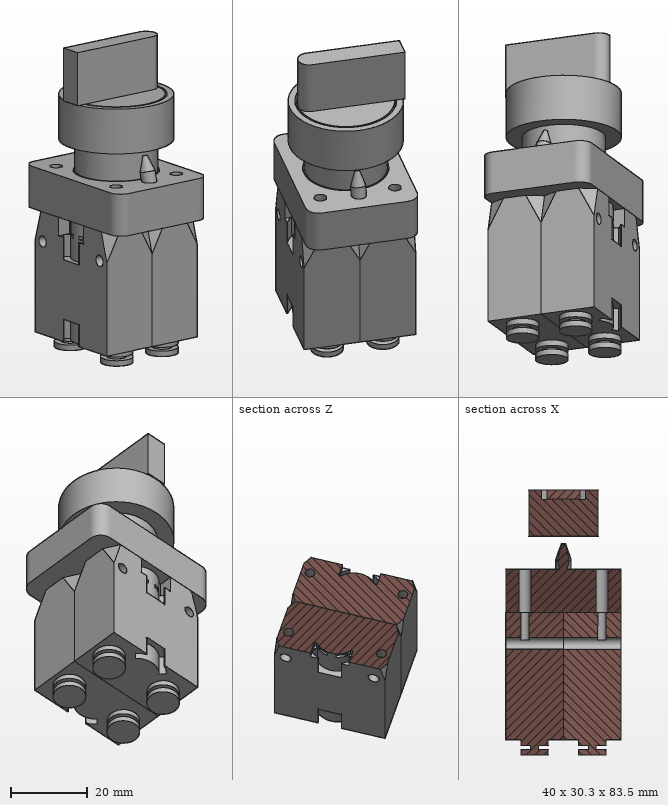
import cadquery as cq
import math

OVERALL_HEIGHT = 83.5
FITTING_HEIGHT = 4.0
PLATE_BOTTOM = 37.15
PLATE_TOP = 48.5
BEZEL_BOTTOM = 57.0
BEZEL_TOP = 69.1

HANDLE_WIDTH = 5.9
HANDLE_FRONT_Y = -15.2
HANDLE_BACK_Y = 12.9
DISC_DIAMETER = 25.5
RECESS_DIAMETER = 26.5
RECESS_DEPTH = 2.5
BEZEL_DIAMETER = 30.1
NECK_DIAMETER = 21.7
STEM_DIAMETER = 20.0

PLATE_LENGTH = 40.0
PLATE_WIDTH = 30.1
PLATE_CORNER_RADIUS = 3.5
NECK_HOLE_DIAMETER = 22.5
SCREW_HOLE_DIAMETER = 3.25
SCREW_X = 12.6
SCREW_Y = 10.0

PEG_DIAMETER = 4.0
PEG_TIP_DIAMETER = 1.2
PEG_BASE_X = 13.8
PEG_SHANK_LENGTH = 2.6
PEG_CONE_LENGTH = 4.2
PEG_ROOT_LENGTH = 3.3
PEG_LEAN = 15.0

BLOCK_WIDTH = 30.1
BLOCK_DEPTH = PLATE_WIDTH / 2
BLOCK_BOTTOM = FITTING_HEIGHT
FACE_Y = -BLOCK_DEPTH
AXIS_Y = FACE_Y / 2

CORNER_CUT_X = 2.3
CORNER_CUT_Y = 4.35
CORNER_CUT_HEIGHT = 8.0

CROSS_HOLE_DIAMETER = 3.0
CROSS_HOLE_X = 11.9
CROSS_HOLE_Z = 29.1
PILOT_HOLE_DIAMETER = 2.4
PILOT_HOLE_DEPTH = 7.2
PILOT_FLOOR = PLATE_BOTTOM - PILOT_HOLE_DEPTH

POST_RADIUS = 6.0
SLOT_RADIUS = 7.9
SLOT_MOUTH_WIDTH = 6.35
SLOT_SECTOR = 90.0
SLOT_FLOOR = 26.1
NOTCH_TOP = 10.0

WINDOW_WIDTH = 10.35
WINDOW_DEPTH = 3.7
WINDOW_FLOOR = 32.15
FLAT_DEPTH = 3.0
FLAT_HEIGHT = 0.9
FLAT_GAP = 2.4

FITTING_X = 9.7
FITTING_DIAMETER = 8.5
FITTING_GROOVE_DIAMETER = 5.0
FITTING_GROOVE_BOTTOM = 1.5
FITTING_GROOVE_TOP = 2.5


def cylinder(diameter, bottom, top, x=0.0, y=0.0):
    """Upright cylinder between two heights."""
    return cq.Workplane("XY", origin=(x, y, bottom)).circle(diameter / 2).extrude(top - bottom)


def box_between(low, high):
    """Box given by two opposite corners."""
    sizes = [b - a for a, b in zip(low, high)]
    return cq.Workplane("XY", origin=low).box(*sizes, centered=False)


def make_knob():
    disc = cylinder(DISC_DIAMETER, BEZEL_TOP - RECESS_DEPTH, BEZEL_TOP)
    half = HANDLE_WIDTH / 2
    handle = (
        cq.Workplane("XY", origin=(0, 0, BEZEL_TOP))
        .moveTo(-half, HANDLE_FRONT_Y)
        .lineTo(half, HANDLE_FRONT_Y)
        .lineTo(half, HANDLE_BACK_Y - half)
        .threePointArc((0, HANDLE_BACK_Y), (-half, HANDLE_BACK_Y - half))
        .close()
        .extrude(OVERALL_HEIGHT - BEZEL_TOP)
    )
    return disc.union(handle)


def make_bezel():
    rim = cylinder(BEZEL_DIAMETER, BEZEL_BOTTOM, BEZEL_TOP)
    neck = cylinder(NECK_DIAMETER, PLATE_TOP, BEZEL_BOTTOM)
    stem = cylinder(STEM_DIAMETER, PLATE_BOTTOM, PLATE_TOP)
    recess = cylinder(RECESS_DIAMETER, BEZEL_TOP - RECESS_DEPTH, BEZEL_TOP)
    return rim.union(neck).union(stem).cut(recess)


def make_peg(side):
    """Pointed peg at +X (side = 1) or -X (side = -1), leaning towards the neck."""
    shank_radius = PEG_DIAMETER / 2
    profile = [
        (0, -PEG_ROOT_LENGTH),
        (shank_radius, -PEG_ROOT_LENGTH),
        (shank_radius, PEG_SHANK_LENGTH),
        (PEG_TIP_DIAMETER / 2, PEG_SHANK_LENGTH + PEG_CONE_LENGTH),
        (0, PEG_SHANK_LENGTH + PEG_CONE_LENGTH),
    ]
    peg = cq.Workplane("XZ").polyline(profile).close().revolve(360, (0, 0), (0, 1))
    leaning = peg.rotate((0, 0, 0), (0, 1, 0), -side * PEG_LEAN)
    return leaning.translate((side * PEG_BASE_X, 0, PLATE_TOP))


def make_plate():
    plate = (
        cq.Workplane("XY", origin=(0, 0, PLATE_BOTTOM))
        .rect(PLATE_LENGTH, PLATE_WIDTH)
        .extrude(PLATE_TOP - PLATE_BOTTOM)
        .edges("|Z")
        .fillet(PLATE_CORNER_RADIUS)
    )
    for side in (-1, 1):
        plate = plate.union(make_peg(side))
        for y in (-SCREW_Y, SCREW_Y):
            plate = plate.cut(cylinder(SCREW_HOLE_DIAMETER, PLATE_BOTTOM, PLATE_TOP, side * SCREW_X, y))
    return plate.cut(cylinder(NECK_HOLE_DIAMETER, PLATE_BOTTOM, BEZEL_BOTTOM))


def corner_cut(x_side, y_side):
    """Sloping cutter that takes a triangular facet off one upper corner of the front block."""
    corner_x = x_side * BLOCK_WIDTH / 2
    corner_y = AXIS_Y + y_side * BLOCK_DEPTH / 2
    corner = cq.Vector(corner_x, corner_y, PLATE_BOTTOM)
    along_x = cq.Vector(corner_x - x_side * CORNER_CUT_X, corner_y, PLATE_BOTTOM)
    along_y = cq.Vector(corner_x, corner_y - y_side * CORNER_CUT_Y, PLATE_BOTTOM)
    below = cq.Vector(corner_x, corner_y, PLATE_BOTTOM - CORNER_CUT_HEIGHT)
    triangles = [
        (corner, along_x, along_y),
        (corner, along_x, below),
        (corner, along_y, below),
        (along_x, along_y, below),
    ]
    faces = [cq.Face.makeFromWires(cq.Wire.makePolygon(points, close=True)) for points in triangles]
    return cq.Workplane(cq.Solid.makeSolid(cq.Shell.makeShell(faces)))


def post(bottom, top):
    """Stretch of the round core on the block axis."""
    return cylinder(2 * POST_RADIUS, bottom, top, 0, AXIS_Y)


def sector_triangle():
    """Triangle that opens from the block axis towards the outer face and spans the slot sector."""
    reach = 2 * SLOT_RADIUS
    half_width = reach * math.tan(math.radians(SLOT_SECTOR / 2))
    return [(0, 0), (-half_width, -reach), (half_width, -reach)]


def ring_slot(bottom, top):
    """Ring-sector slot around the post, with a straight mouth in the outer face."""
    sector = (
        cq.Workplane("XY", origin=(0, AXIS_Y, bottom))
        .polyline(sector_triangle())
        .close()
        .extrude(top - bottom)
    )
    ring = cylinder(2 * SLOT_RADIUS, bottom, top, 0, AXIS_Y).intersect(sector)
    mouth = box_between((-SLOT_MOUTH_WIDTH / 2, FACE_Y, bottom), (SLOT_MOUTH_WIDTH / 2, AXIS_Y, top))
    return ring.union(mouth).cut(post(bottom, top))


def window():
    """Rectangular window in the outer face, with the round post standing in it."""
    opening = box_between(
        (-WINDOW_WIDTH / 2, FACE_Y, WINDOW_FLOOR),
        (WINDOW_WIDTH / 2, FACE_Y + WINDOW_DEPTH, PLATE_BOTTOM),
    )
    return opening.cut(post(WINDOW_FLOOR, PLATE_BOTTOM))


def post_flat(side):
    """Flat cut into the post just above the window floor, on one side of the middle."""
    inner_x = side * FLAT_GAP / 2
    outer_x = side * WINDOW_WIDTH / 2
    return box_between(
        (min(inner_x, outer_x), FACE_Y, WINDOW_FLOOR),
        (max(inner_x, outer_x), FACE_Y + FLAT_DEPTH, WINDOW_FLOOR + FLAT_HEIGHT),
    )


def make_fitting(x):
    """Grooved push-in fitting below the block."""
    body = cylinder(FITTING_DIAMETER, 0, FITTING_GROOVE_BOTTOM, x, AXIS_Y)
    groove = cylinder(FITTING_GROOVE_DIAMETER, FITTING_GROOVE_BOTTOM, FITTING_GROOVE_TOP, x, AXIS_Y)
    collar = cylinder(FITTING_DIAMETER, FITTING_GROOVE_TOP, FITTING_HEIGHT, x, AXIS_Y)
    return body.union(groove).union(collar)


def make_front_block():
    block = box_between(
        (-BLOCK_WIDTH / 2, FACE_Y, BLOCK_BOTTOM),
        (BLOCK_WIDTH / 2, FACE_Y + BLOCK_DEPTH, PLATE_BOTTOM),
    )
    cross_hole = cq.Workplane("XZ").circle(CROSS_HOLE_DIAMETER / 2).extrude(BLOCK_DEPTH)
    for side in (-1, 1):
        for y_side in (-1, 1):
            block = block.cut(corner_cut(side, y_side))
        block = block.cut(cross_hole.translate((side * CROSS_HOLE_X, 0, CROSS_HOLE_Z)))
        block = block.cut(
            cylinder(PILOT_HOLE_DIAMETER, PILOT_FLOOR, PLATE_BOTTOM, side * SCREW_X, -SCREW_Y)
        )

    block = block.cut(window().union(ring_slot(SLOT_FLOOR, WINDOW_FLOOR)))
    block = block.cut(ring_slot(BLOCK_BOTTOM, NOTCH_TOP))
    for side in (-1, 1):
        block = block.cut(post_flat(side))
        block = block.union(make_fitting(side * FITTING_X))
    return block


def make_blocks():
    """Two equal blocks back to back."""
    front_block = make_front_block()
    return [front_block.rotate((0, 0, 0), (0, 0, 1), turn) for turn in (0, 180)]


knob = make_knob()
bezel = make_bezel()
plate = make_plate()
blocks = make_blocks()

result = cq.Compound.makeCompound([
    knob.val(),
    bezel.val(),
    plate.val(),
    *[block.val() for block in blocks],
])